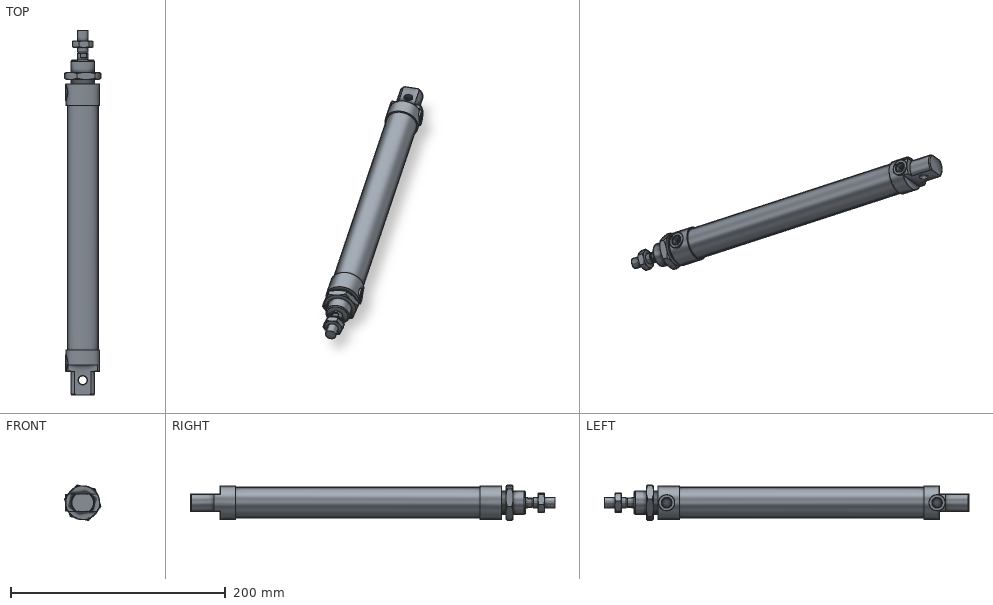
import cadquery as cq
import math

CLEVIS_END = -170.0
TIP = 170.0
SLAB_END = -148.0
REAR_CAP_END = -142.0
REAR_CAP_START = -128.0
FRONT_CAP_START = 100.0
FRONT_CAP_END = 120.0
NECK_END = 142.0

TUBE_DIAMETER = 29.0
CAP_DIAMETER = 31.5
NECK_DIAMETER = 22.0
NECK_CHAMFER = 1.0
SLAB_THICKNESS = 16.0
CLEVIS_DIAMETER = 22.0
CLEVIS_CHAMFER = 1.0
CLEVIS_HOLE_DIAMETER = 8.0
CLEVIS_HOLE_Y = -156.0

PORT_FACE = 16.0
PORT_MOUTH_DEPTH = 0.7
PORT_BOSS_DIAMETER = 15.0
PORT_DIAMETER = 9.0
PORT_DEPTH = 9.0
PORT_MOUTH_DIAMETER = 10.0
PORT_POSITIONS = (-140.0, 112.0)

ROD_DIAMETER = 10.0
ROD_SOCKET_END = 102.0
UNDERCUT_DIAMETER = 8.0
UNDERCUT_START = 148.2
UNDERCUT_END = 149.5
ROD_FLAT_WIDTH = 8.0
ROD_FLAT_START = 145.0
ROD_FLAT_ANGLE = 8.5

HEXAGON_SIDES = 6
HALF_SIDE_ANGLE = 180 / HEXAGON_SIDES
NUT_CHAMFER_ANGLE = 30.0
MOUNTING_NUT_CORNERS = 34.7
MOUNTING_NUT_START = 124.0
MOUNTING_NUT_THICKNESS = 6.8
MOUNTING_NUT_TURN = 12.0
ROD_NUT_CORNERS = 19.5
ROD_NUT_START = 154.0
ROD_NUT_THICKNESS = 6.0
ROD_NUT_TURN = 8.5


def axial_cylinder(diameter, start, end):
    """Cylinder about the Y axis between two axial positions."""
    return cq.Workplane("XZ", origin=(0, start, 0)).circle(diameter / 2).extrude(start - end)


def slab(thickness, start, end):
    """Flat block centred on the axis, wider than any part of the housing."""
    middle = (start + end) / 2
    return cq.Workplane("XY", origin=(0, middle, 0)).box(2 * CAP_DIAMETER, end - start, thickness)


def make_clevis():
    """Flattened clevis tongue and the wider step behind it, with a vertical cross hole."""
    round_part = axial_cylinder(CLEVIS_DIAMETER, CLEVIS_END, REAR_CAP_END)
    round_part = round_part.faces("<Y").chamfer(CLEVIS_CHAMFER)
    step = axial_cylinder(CAP_DIAMETER, SLAB_END, REAR_CAP_END)
    tongue = round_part.union(step).intersect(slab(SLAB_THICKNESS, CLEVIS_END, REAR_CAP_END))
    hole = (
        cq.Workplane("XY", origin=(0, CLEVIS_HOLE_Y, 0))
        .circle(CLEVIS_HOLE_DIAMETER / 2)
        .extrude(SLAB_THICKNESS, both=True)
    )
    return tongue.cut(hole)


def port_cylinder(diameter, depth, y):
    """Cylinder running inwards along X from the outer face of a port."""
    return (
        cq.Workplane("YZ", origin=(-PORT_FACE, y, 0))
        .circle(diameter / 2)
        .extrude(depth)
    )


def port_mouth(y):
    """Cone widening the outer end of a port to the mouth diameter."""
    return cq.Workplane(
        cq.Solid.makeCone(
            PORT_MOUTH_DIAMETER / 2,
            PORT_DIAMETER / 2,
            PORT_MOUTH_DEPTH,
            cq.Vector(-PORT_FACE, y, 0),
            cq.Vector(1, 0, 0),
        )
    )


def make_housing():
    """Tube, end caps, threaded neck, clevis and air ports, with the socket for the rod."""
    neck = axial_cylinder(NECK_DIAMETER, FRONT_CAP_END, NECK_END).faces(">Y").chamfer(NECK_CHAMFER)
    body = (
        axial_cylinder(TUBE_DIAMETER, REAR_CAP_START, FRONT_CAP_START)
        .union(axial_cylinder(CAP_DIAMETER, FRONT_CAP_START, FRONT_CAP_END))
        .union(axial_cylinder(CAP_DIAMETER, REAR_CAP_END, REAR_CAP_START))
        .union(neck)
        .union(make_clevis())
    )
    for y in PORT_POSITIONS:
        body = body.union(port_cylinder(PORT_BOSS_DIAMETER, PORT_FACE, y))
        body = body.cut(port_cylinder(PORT_DIAMETER, PORT_DEPTH, y))
        body = body.cut(port_mouth(y))
    return body.cut(axial_cylinder(ROD_DIAMETER, ROD_SOCKET_END, NECK_END))


def wrench_flats():
    """Two opposite cutters whose flats run out to the rod surface in 45-degree ramps."""
    flat = ROD_FLAT_WIDTH / 2
    rise = ROD_DIAMETER / 2
    cutter = (
        cq.Workplane("YZ")
        .moveTo(UNDERCUT_START, flat)
        .lineTo(ROD_FLAT_START, flat)
        .lineTo(ROD_FLAT_START - rise, flat + rise)
        .lineTo(UNDERCUT_START, flat + rise)
        .close()
        .extrude(ROD_DIAMETER, both=True)
        .rotate((0, 0, 0), (0, 1, 0), ROD_FLAT_ANGLE)
    )
    return cutter.union(cutter.rotate((0, 0, 0), (0, 1, 0), 180))


def make_rod():
    """Piston rod with a thread undercut and two wrench flats."""
    rod = axial_cylinder(ROD_DIAMETER, ROD_SOCKET_END, TIP)
    undercut = axial_cylinder(ROD_DIAMETER, UNDERCUT_START, UNDERCUT_END).cut(
        axial_cylinder(UNDERCUT_DIAMETER, UNDERCUT_START, UNDERCUT_END)
    )
    return rod.cut(undercut).cut(wrench_flats())


def make_nut(corners, bore, start, thickness, turn):
    """Hexagon nut on the Y axis with both faces chamfered at the corners."""
    corner_radius = corners / 2
    flat_radius = corner_radius * math.cos(math.radians(HALF_SIDE_ANGLE))
    drop = (corner_radius - flat_radius) * math.tan(math.radians(NUT_CHAMFER_ANGLE))
    end = start + thickness
    hexagon = (
        cq.Workplane("XZ", origin=(0, start, 0))
        .polygon(HEXAGON_SIDES, corners)
        .extrude(-thickness)
        .rotate((0, 0, 0), (0, 1, 0), turn)
    )
    turned_blank = (
        cq.Workplane("XY")
        .moveTo(bore / 2, start)
        .lineTo(flat_radius, start)
        .lineTo(corner_radius, start + drop)
        .lineTo(corner_radius, end - drop)
        .lineTo(flat_radius, end)
        .lineTo(bore / 2, end)
        .close()
        .revolve(360, (0, 0, 0), (0, 1, 0))
    )
    return hexagon.intersect(turned_blank)


housing = make_housing()
rod = make_rod()
mounting_nut = make_nut(
    MOUNTING_NUT_CORNERS, NECK_DIAMETER, MOUNTING_NUT_START, MOUNTING_NUT_THICKNESS, MOUNTING_NUT_TURN
)
rod_nut = make_nut(ROD_NUT_CORNERS, ROD_DIAMETER, ROD_NUT_START, ROD_NUT_THICKNESS, ROD_NUT_TURN)

result = cq.Compound.makeCompound([housing.val(), rod.val(), mounting_nut.val(), rod_nut.val()])